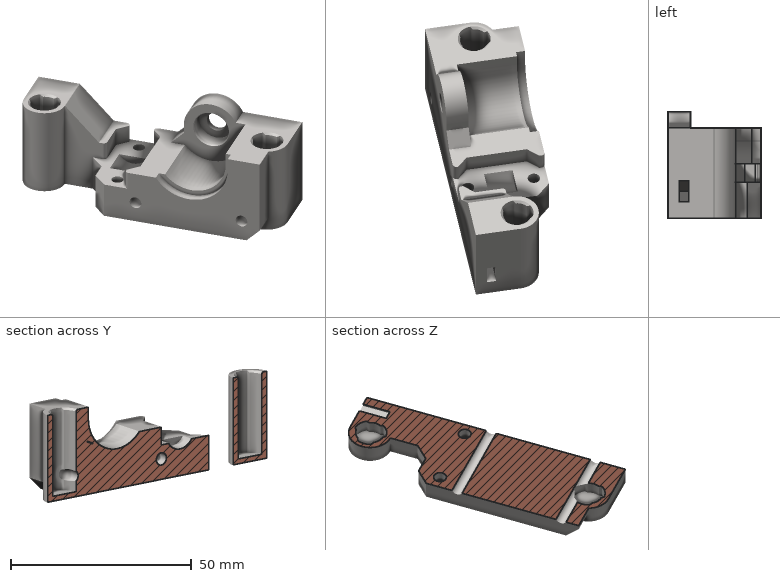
import cadquery as cq
import math

LENGTH = 77.0
DEPTH = 25.7
HEIGHT = 25.0
DECK_Z = 15.1
POCKET_FLOOR_Z = 10.0

TOWER_RADIUS = 6.0
TOWER_Y = 13.0
LEFT_TOWER_X = TOWER_RADIUS
RIGHT_TOWER_X = LENGTH - TOWER_RADIUS
ROD_HOLE_RADIUS = 4.55
ROD_LAND_RADIUS = 3.9
LAND_INNER_HALF_ANGLE = 25.0
LAND_OUTER_HALF_ANGLE = 34.0
ROD_LAND_MIDDLES = (90.0, 210.0, 330.0)
ROD_LEAD_IN = 0.55
ROD_HOLE_FLOOR_Z = 1.55

NUT_ACROSS_FLATS = 5.85
NUT_THICKNESS = 2.6
NUT_Y = 21.3
NUT_Z = 7.5

BLOCK_LEFT = 24.0
BLOCK_RIGHT = 73.3
BLOCK_CHAMFER = 3.85

AXIS_X = 52.5
AXIS_Z = 21.5
BOSS_RADIUS = 8.0
BOSS_THICKNESS = 6.2
BOSS_FLANK_Z = 18.9
BEARING_RADIUS = 5.0
BEARING_DEPTH = 4.5
BEARING_LEAD_IN = 0.5
BEARING_MOUTH_RADIUS = 5.2
SHAFT_RADIUS = 2.8

TROUGH_RADIUS = 10.0
TROUGH_RIM_RADIUS = 11.5
TROUGH_RIM_DEPTH = 2.55

POCKET_X = 30.5
POCKET_HALF_WIDTH = 6.5
BACK_NECK_HALF_WIDTH = 3.6
BACK_NECK_LENGTH = 1.4
FRONT_NECK_HALF_WIDTH = 3.5
FRONT_NECK_LENGTH = 1.55
CORNER_RADIUS = 1.0

RECESS_HALF_SIZE = 4.0
RECESS_DEPTH = 2.2
SCREW_RADIUS = 1.7
POCKET_SCREW_OFFSET = 9.25
FRONT_SCREW_OFFSET = 15.5
FRONT_SCREW_Z = 5.9


def box(x0, x1, y0, y1, z0, z1):
    """Axis-aligned box between two opposite corners."""
    return cq.Workplane("XY").box(x1 - x0, y1 - y0, z1 - z0, centered=False).translate((x0, y0, z0))


def along_y(profile, y0, y1):
    """Extrude a closed XZ profile from y0 to y1."""
    return profile.extrude(y0 - y1).translate((0, y0, 0))


def y_cylinder(x, z, radius, y0, y1):
    return along_y(cq.Workplane("XZ").center(x, z).circle(radius), y0, y1)


def z_cylinder(x, y, radius, z0, z1):
    return cq.Workplane("XY", origin=(x, y, z0)).circle(radius).extrude(z1 - z0)


def body():
    """Plan outline cut to the stepped front profile."""
    plan = (
        cq.Workplane("XY")
        .polyline([
            (LEFT_TOWER_X, DEPTH),
            (LEFT_TOWER_X, TOWER_Y),
            (BLOCK_LEFT - BLOCK_CHAMFER, TOWER_Y),
            (BLOCK_LEFT, TOWER_Y - BLOCK_CHAMFER),
            (BLOCK_LEFT, BLOCK_CHAMFER),
            (BLOCK_LEFT + BLOCK_CHAMFER, 0),
            (BLOCK_RIGHT, 0),
            (BLOCK_RIGHT, DEPTH),
        ])
        .close()
        .extrude(HEIGHT)
    )
    slope_start = 2 * TOWER_RADIUS
    profile = (
        cq.Workplane("XZ")
        .polyline([
            (0, 0),
            (BLOCK_RIGHT - BLOCK_CHAMFER, 0),
            (BLOCK_RIGHT, BLOCK_CHAMFER),
            (BLOCK_RIGHT, HEIGHT),
            (AXIS_X, HEIGHT),
            (AXIS_X, DECK_Z),
            (slope_start + HEIGHT - DECK_Z, DECK_Z),
            (slope_start, HEIGHT),
            (0, HEIGHT),
        ])
        .close()
    )
    return plan.intersect(along_y(profile, 0, DEPTH))


def tower(x):
    """Round-fronted column that runs straight to the back face."""
    column = z_cylinder(x, TOWER_Y, TOWER_RADIUS, 0, HEIGHT)
    return column.union(box(x - TOWER_RADIUS, x + TOWER_RADIUS, TOWER_Y, DEPTH, 0, HEIGHT))


def boss():
    """Round boss with a sloping foot on the deck."""
    left = AXIS_X - BOSS_RADIUS
    foot = (
        cq.Workplane("XZ")
        .polyline([
            (left - (BOSS_FLANK_Z - DECK_Z), DECK_Z),
            (left, BOSS_FLANK_Z),
            (left, AXIS_Z),
            (AXIS_X, AXIS_Z),
            (AXIS_X, DECK_Z),
        ])
        .close()
    )
    front = DEPTH - BOSS_THICKNESS
    return along_y(foot, front, DEPTH).union(y_cylinder(AXIS_X, AXIS_Z, BOSS_RADIUS, front, DEPTH))


def trough(radius, depth):
    """Round-bottomed channel, open at the top."""
    top = HEIGHT + BOSS_RADIUS
    opening = box(AXIS_X - radius, AXIS_X + radius, 0, depth, AXIS_Z, top)
    return y_cylinder(AXIS_X, AXIS_Z, radius, 0, depth).union(opening)


def bearing_seat():
    """Blind seat with a tapered mouth and a shaft hole through to the back."""
    front = DEPTH - BOSS_THICKNESS
    seat = y_cylinder(AXIS_X, AXIS_Z, BEARING_RADIUS, front, front + BEARING_DEPTH)
    lead_in = (
        cq.Workplane("XZ", origin=(AXIS_X, front, AXIS_Z))
        .circle(BEARING_MOUTH_RADIUS)
        .workplane(offset=-BEARING_LEAD_IN)
        .circle(BEARING_RADIUS)
        .loft()
    )
    return seat.union(lead_in).union(y_cylinder(AXIS_X, AXIS_Z, SHAFT_RADIUS, front, DEPTH))


def rod_hole(x):
    """Blind hole with three clamping lands that are tapered at the mouth."""

    def corner(radius, angle):
        return radius * math.cos(math.radians(angle)), radius * math.sin(math.radians(angle))

    depth = HEIGHT - ROD_HOLE_FLOOR_Z
    inner_x, inner_y = corner(ROD_LAND_RADIUS, LAND_INNER_HALF_ANGLE)
    outer_x, outer_y = corner(ROD_HOLE_RADIUS, LAND_OUTER_HALF_ANGLE)
    land = (
        cq.Workplane("XY", origin=(0, 0, ROD_HOLE_FLOOR_Z))
        .polyline([
            (inner_x, -inner_y),
            (outer_x, -outer_y),
            (TOWER_RADIUS, -outer_y),
            (TOWER_RADIUS, outer_y),
            (outer_x, outer_y),
            (inner_x, inner_y),
        ])
        .close()
        .extrude(depth)
    )
    hole = z_cylinder(0, 0, ROD_HOLE_RADIUS, ROD_HOLE_FLOOR_Z, HEIGHT)
    for middle in ROD_LAND_MIDDLES:
        hole = hole.cut(land.rotate((0, 0, 0), (0, 0, 1), middle))
    bore = z_cylinder(0, 0, ROD_LAND_RADIUS, ROD_HOLE_FLOOR_Z, HEIGHT)
    mouth = (
        cq.Workplane("XY", origin=(0, 0, HEIGHT - ROD_LEAD_IN))
        .circle(ROD_LAND_RADIUS)
        .workplane(offset=ROD_LEAD_IN)
        .circle(ROD_HOLE_RADIUS)
        .loft()
    )
    return hole.union(bore).union(mouth).translate((x, TOWER_Y, 0))


def nut_trap():
    """Slot from the left end that stops at the point of a hexagon nut."""
    half_flat = NUT_ACROSS_FLATS / 2
    half_side = half_flat * math.tan(math.radians(30))
    profile = (
        cq.Workplane("XZ")
        .polyline([
            (0, NUT_Z - half_flat),
            (LEFT_TOWER_X + half_side, NUT_Z - half_flat),
            (LEFT_TOWER_X + 2 * half_side, NUT_Z),
            (LEFT_TOWER_X + half_side, NUT_Z + half_flat),
            (0, NUT_Z + half_flat),
        ])
        .close()
    )
    return along_y(profile, NUT_Y - NUT_THICKNESS / 2, NUT_Y + NUT_THICKNESS / 2)


def pocket():
    """Pocket with necked openings at the back and front and rounded mouth corners."""
    left = POCKET_X - POCKET_HALF_WIDTH
    right = POCKET_X + POCKET_HALF_WIDTH
    back_left = POCKET_X - BACK_NECK_HALF_WIDTH
    back_right = POCKET_X + BACK_NECK_HALF_WIDTH
    front_right = POCKET_X + FRONT_NECK_HALF_WIDTH
    back_flare = POCKET_HALF_WIDTH - BACK_NECK_HALF_WIDTH
    front_flare = POCKET_HALF_WIDTH - FRONT_NECK_HALF_WIDTH
    back_neck_y = DEPTH - BACK_NECK_LENGTH
    r = CORNER_RADIUS
    outline = (
        cq.Workplane("XY", origin=(0, 0, POCKET_FLOOR_Z))
        .moveTo(front_right + r, 0)
        .radiusArc((front_right, r), r)
        .lineTo(front_right, FRONT_NECK_LENGTH)
        .lineTo(right, FRONT_NECK_LENGTH + front_flare)
        .lineTo(right, back_neck_y - back_flare)
        .lineTo(back_right, back_neck_y)
        .lineTo(back_right, DEPTH - r)
        .radiusArc((back_right + r, DEPTH), r)
        .lineTo(back_left - r, DEPTH)
        .radiusArc((back_left, DEPTH - r), r)
        .lineTo(back_left, back_neck_y)
        .lineTo(left, back_neck_y - back_flare)
        .lineTo(left, TOWER_Y + r)
        .radiusArc((left - r, TOWER_Y), r)
        .lineTo(left - BLOCK_CHAMFER, TOWER_Y)
        .lineTo(left - BLOCK_CHAMFER, 0)
        .close()
    )
    return outline.extrude(HEIGHT - POCKET_FLOOR_Z)


def recess():
    """Shallow round-bottomed recess in the pocket floor."""
    profile = (
        cq.Workplane("XZ")
        .moveTo(POCKET_X - RECESS_HALF_SIZE, POCKET_FLOOR_Z)
        .threePointArc(
            (POCKET_X, POCKET_FLOOR_Z - RECESS_DEPTH),
            (POCKET_X + RECESS_HALF_SIZE, POCKET_FLOOR_Z),
        )
        .close()
    )
    return along_y(profile, TOWER_Y - RECESS_HALF_SIZE, TOWER_Y + RECESS_HALF_SIZE)


result = body().cut(pocket())
for tower_x in (LEFT_TOWER_X, RIGHT_TOWER_X):
    result = result.union(tower(tower_x))

trough_length = DEPTH - BOSS_THICKNESS
result = result.union(boss())
result = result.cut(trough(TROUGH_RADIUS, trough_length))
result = result.cut(trough(TROUGH_RIM_RADIUS, TROUGH_RIM_DEPTH))
result = result.cut(bearing_seat())

for tower_x in (LEFT_TOWER_X, RIGHT_TOWER_X):
    result = result.cut(rod_hole(tower_x))
result = result.cut(nut_trap()).cut(recess())

for side in (-1, 1):
    pocket_screw_y = TOWER_Y + side * POCKET_SCREW_OFFSET
    result = result.cut(z_cylinder(POCKET_X, pocket_screw_y, SCREW_RADIUS, 0, POCKET_FLOOR_Z))
    front_screw_x = AXIS_X + side * FRONT_SCREW_OFFSET
    result = result.cut(y_cylinder(front_screw_x, FRONT_SCREW_Z, SCREW_RADIUS, 0, DEPTH))